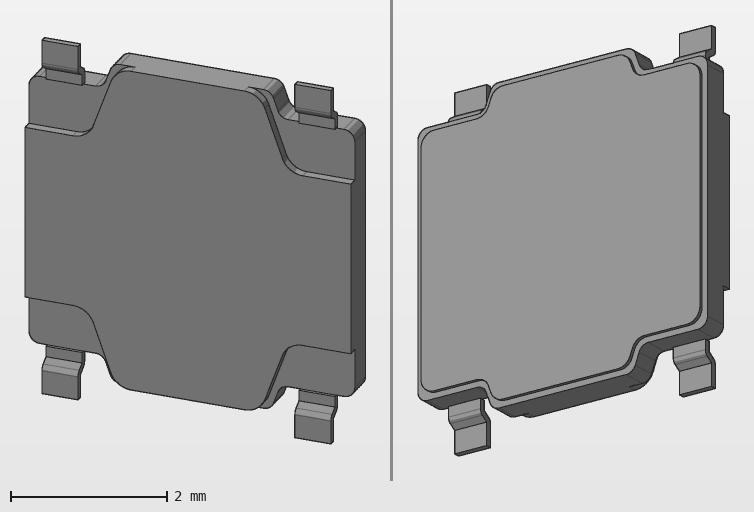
import cadquery as cq
import math

body_width = 4.51
body_height = 4.51
body_depth = 0.5
lead_span = 5.0

shoulder_height = 1.89
flank_angle = 20.0
flank_top_x = 1.095
body_bend_radius = 0.15
body_corner_radius = 0.15

pad_depth = 0.135
pad_shoulder_height = 1.2
pad_flank_top_x = 0.995
pad_bend_radius = 0.3

cover_depth = 0.05
cover_inset = 0.085
cover_radius = 0.2

lead_inner_x = 1.5
lead_width = 0.5
lead_thickness = 0.09
lead_foot_y = -0.05
lead_jog = 0.14
lead_bend_z = 2.175
lead_slant_angle = 32.0


def stepped_plate(start_y, depth, half_width, half_height, shoulder, top_x, bend_radius, corner_radius=0.0):
    """Plate whose corners step down along slanted flanks; a zero corner radius leaves them sharp."""
    shoulder_x = top_x + (half_height - shoulder) * math.tan(math.radians(flank_angle))
    quarter = [(top_x, half_height), (shoulder_x, shoulder), (half_width, shoulder)]
    right = quarter + [(x, -z) for x, z in reversed(quarter)]
    left = [(-x, -z) for x, z in right]
    plate = cq.Workplane("XZ", origin=(0, start_y, 0)).polyline(right + left).close().extrude(-depth)
    plate = plate.edges("|Y and (not (<X or >X))").fillet(bend_radius)
    if corner_radius > 0:
        plate = plate.edges("|Y and (<X or >X)").fillet(corner_radius)
    return plate


def make_lead():
    """Lead at the +X, +Z corner: flat foot, slanted middle leg and a root on the shoulder."""
    slant = math.radians(lead_slant_angle)
    foot_back_y = lead_foot_y + lead_thickness
    root_front_y = lead_foot_y + lead_jog
    root_back_y = root_front_y + lead_thickness
    bend_drop = (lead_thickness + (root_front_y - foot_back_y) * math.sin(slant)) / math.cos(slant)
    root_bend_z = lead_bend_z - bend_drop

    def bend_point(centre_y, centre_z, side, angle):
        """Point on the rounded outside of a bend; side is -1 for the front and +1 for the back."""
        y = centre_y + side * lead_thickness * math.sin(angle)
        z = centre_z + side * lead_thickness * math.cos(angle)
        return (y, z)

    middle_angle = (slant + math.pi / 2) / 2
    foot_bend = (foot_back_y, lead_bend_z, -1)
    root_bend = (root_front_y, root_bend_z, 1)
    return (
        cq.Workplane("YZ", origin=(lead_inner_x, 0, 0))
        .moveTo(foot_back_y, lead_span / 2)
        .lineTo(lead_foot_y, lead_span / 2)
        .lineTo(lead_foot_y, lead_bend_z)
        .threePointArc(bend_point(*foot_bend, middle_angle), bend_point(*foot_bend, slant))
        .lineTo(root_front_y, root_bend_z)
        .lineTo(root_front_y, shoulder_height)
        .lineTo(root_back_y, shoulder_height)
        .lineTo(root_back_y, root_bend_z)
        .threePointArc(bend_point(*root_bend, middle_angle), bend_point(*root_bend, slant))
        .lineTo(foot_back_y, lead_bend_z)
        .close()
        .extrude(lead_width)
    )


pad = stepped_plate(
    0, pad_depth, body_width / 2, body_height / 2,
    pad_shoulder_height, pad_flank_top_x, pad_bend_radius,
)
body = stepped_plate(
    pad_depth, body_depth - pad_depth, body_width / 2, body_height / 2,
    shoulder_height, flank_top_x, body_bend_radius, body_corner_radius,
)

cover_flank_shift = cover_inset * math.tan(math.radians((90 - flank_angle) / 2))
cover = stepped_plate(
    body_depth, cover_depth, body_width / 2 - cover_inset, body_height / 2 - cover_inset,
    shoulder_height - cover_inset, flank_top_x - cover_flank_shift, cover_radius, cover_radius,
)

upper_right_lead = make_lead()
upper_left_lead = upper_right_lead.mirror("YZ")
result = body.union(pad).union(cover)
for lead in (upper_right_lead, upper_left_lead):
    result = result.union(lead).union(lead.mirror("XY"))